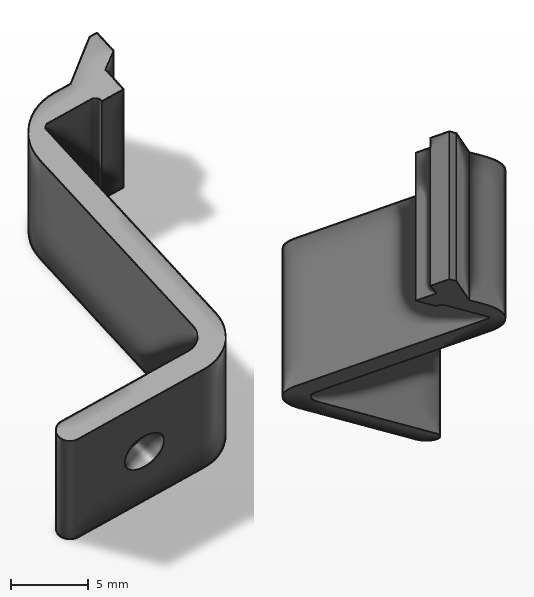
import cadquery as cq

length = 26.75
depth = 21.53
width = 10.0
thickness = 1.82

hook_bend_radius = 4.0
leg_bend_inner_radius = 1.5
leg_bend_outer_radius = leg_bend_inner_radius + thickness
corner_radius = 0.4
tip_radius = thickness / 2

wall_outer_x = 2.45
wall_inner_x = wall_outer_x + thickness
web_outer_y = 12.38
web_inner_y = web_outer_y + thickness
leg_inner_x = length - thickness

lip_top_length = 1.85
lip_edge_height = 0.6
slope_end_y = depth - 3.85
catch_left_x = 2.8
catch_right_x = 4.8
catch_top_y = depth - 1.35
catch_bottom_y = depth - 3.08

hole_diameter = 3.1
hole_y = 6.15


def make_strip():
    """Bent strip with sharp corners, then each bend rounded in turn."""
    outline = [
        (0, depth),
        (lip_top_length, depth),
        (catch_left_x, catch_top_y),
        (catch_right_x, catch_top_y),
        (catch_right_x, catch_bottom_y),
        (wall_inner_x, catch_bottom_y),
        (wall_inner_x, web_inner_y),
        (length, web_inner_y),
        (length, tip_radius),
        (leg_inner_x, tip_radius),
        (leg_inner_x, web_outer_y),
        (wall_outer_x, web_outer_y),
        (wall_outer_x, slope_end_y),
        (0, depth - lip_edge_height),
    ]
    rounded_corners = [
        (wall_inner_x, catch_bottom_y, corner_radius),
        (wall_inner_x, web_inner_y, corner_radius),
        (wall_outer_x, web_outer_y, hook_bend_radius),
        (length, web_inner_y, leg_bend_outer_radius),
        (leg_inner_x, web_outer_y, leg_bend_inner_radius),
    ]
    strip = cq.Workplane("XY").polyline(outline).close().extrude(width)
    for x, y, radius in rounded_corners:
        corner_edge = cq.selectors.NearestToPointSelector((x, y, width / 2))
        strip = strip.edges("|Z").edges(corner_edge).fillet(radius)
    return strip


def make_leg_tip():
    """Cylinder that gives the end of the leg a full round."""
    return cq.Workplane("XY").center(length - tip_radius, tip_radius).circle(tip_radius).extrude(width)


def make_screw_hole():
    """Cylinder along X that passes through the leg only."""
    return (
        cq.Workplane("YZ", origin=(leg_inner_x - thickness, 0, 0))
        .center(hole_y, width / 2)
        .circle(hole_diameter / 2)
        .extrude(3 * thickness)
    )


result = make_strip().union(make_leg_tip()).cut(make_screw_hole())